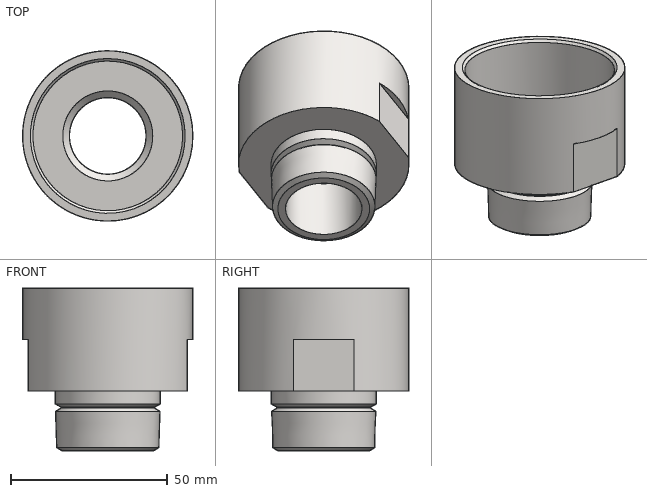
import cadquery as cq
import math

body_radius = 27.25
body_height = 32.95
cup_radius = 23.9
cup_depth = 28.0
rim_radius = 24.75
rim_chamfer_depth = 0.8

flat_distance = 25.45
flat_height = 16.5

spigot_length = 19.0
collar_radius = 16.85
taper_start_radius = 16.75
collar_length = 4.05
groove_root_radius = 15.05
groove_root_width = 0.3
taper_length = 11.6
taper_half_angle = math.atan(1 / 32)
tip_chamfer_depth = 1.0
chamfer_angle = math.radians(30)

bore_radius = 12.2
countersink_radius = 14.4

shoulder_z = spigot_length
top_z = shoulder_z + body_height
floor_z = top_z - cup_depth
collar_end_z = shoulder_z - collar_length
groove_side_height = (collar_radius - groove_root_radius) * math.tan(chamfer_angle)
groove_root_top_z = collar_end_z - groove_side_height
groove_root_bottom_z = groove_root_top_z - groove_root_width
taper_top_z = tip_chamfer_depth + taper_length
taper_end_radius = taper_start_radius - taper_length * math.tan(taper_half_angle)
tip_radius = taper_end_radius - tip_chamfer_depth / math.tan(chamfer_angle)
countersink_depth = countersink_radius - bore_radius


def revolved_blank():
    """Cup and spigot, revolved from one half section in the XZ plane."""
    half_section = [
        (bore_radius, 0),
        (tip_radius, 0),
        (taper_end_radius, tip_chamfer_depth),
        (taper_start_radius, taper_top_z),
        (groove_root_radius, groove_root_bottom_z),
        (groove_root_radius, groove_root_top_z),
        (collar_radius, collar_end_z),
        (collar_radius, shoulder_z),
        (body_radius, shoulder_z),
        (body_radius, top_z),
        (rim_radius, top_z),
        (cup_radius, top_z - rim_chamfer_depth),
        (cup_radius, floor_z),
        (countersink_radius, floor_z),
        (bore_radius, floor_z - countersink_depth),
    ]
    section = cq.Workplane("XZ").polyline(half_section).close()
    return section.revolve(360, (0, 0), (0, 1))


def flat_cutter(side):
    """Block that removes the body outside one flat; side is -1 or +1 along X."""
    depth = body_radius - flat_distance
    return (
        cq.Workplane("XY")
        .box(depth, 2 * body_radius, flat_height, centered=(True, True, False))
        .translate((side * (flat_distance + depth / 2), 0, shoulder_z))
    )


result = revolved_blank()
for side in (-1, 1):
    result = result.cut(flat_cutter(side))